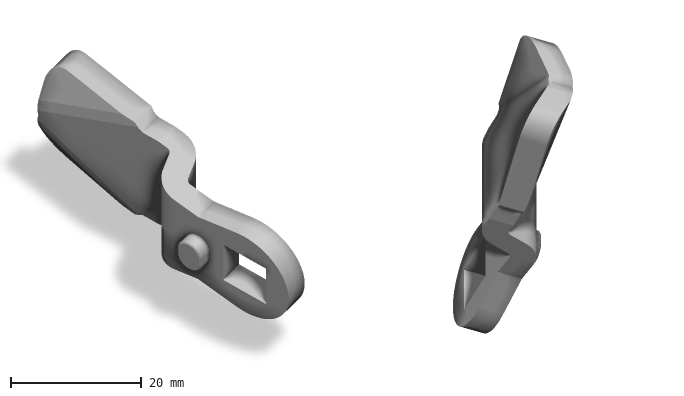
import cadquery as cq
import math

overall_length = 53.95
thickness = 4.05

hub_radius = 8.5
square_width = 8.2
square_height = 8.05
neck_x = -8.95
neck_half_height = 7.05

arm_offset = 7.05
joggle_angle = math.radians(70)
joggle_end_x = -13.5
inner_bend_radius = 1.0
outer_bend_radius = inner_bend_radius + thickness

tip_x = hub_radius - overall_length
arm_half_height = 9.4
shoulder_x = -25.05
wing_start_x = -26.65
wing_half_height = 10.45
wing_taper = math.radians(2)
tip_corner_radius = 4.0
notch_half_height = 1.55
notch_depth = 0.3

fold_line_angle = math.radians(25)
fold_start_z = 0.85
fold_angle = math.radians(26.5)
wing_reach = 13.5
flat_reach = 16.2
wing_limit_x = -22.65

pin_width = 4.4
pin_height = 5.7
pin_length = 2.3
pin_chamfer = 0.2

outline_depth = 32.35
blank_height = 26.95


def make_outline():
    """Outline in XZ, extruded through the full depth of the part."""
    neck_distance = math.hypot(neck_x, neck_half_height)
    tangent_angle = math.atan2(neck_half_height, neck_x) - math.acos(hub_radius / neck_distance)
    tangent_x = hub_radius * math.cos(tangent_angle)
    tangent_z = hub_radius * math.sin(tangent_angle)
    flank_slope = (tangent_z - neck_half_height) / (tangent_x - neck_x)
    flank_end_x = neck_x - (arm_half_height - neck_half_height) / flank_slope
    tip_half_height = wing_half_height - (wing_start_x - tip_x) * math.tan(wing_taper)

    upper_edge = [
        (neck_x, neck_half_height),
        (flank_end_x, arm_half_height),
        (shoulder_x, arm_half_height),
        (wing_start_x, wing_half_height),
        (tip_x, tip_half_height),
        (tip_x, notch_half_height),
    ]
    lower_edge = [(x, -z) for x, z in reversed(upper_edge)]
    profile = cq.Workplane("XZ").moveTo(tangent_x, tangent_z)
    for point in upper_edge + [(tip_x + notch_depth, 0)] + lower_edge:
        profile = profile.lineTo(*point)
    profile = profile.lineTo(tangent_x, -tangent_z)
    profile = profile.threePointArc((hub_radius, 0), (tangent_x, tangent_z)).close()
    outline = profile.extrude(outline_depth, both=True)
    for corner_z in (tip_half_height, -tip_half_height):
        corner = cq.selectors.NearestToPointSelector((tip_x, 0, corner_z))
        outline = outline.edges("|Y").edges(corner).fillet(tip_corner_radius)
    return outline


def make_joggled_plate():
    """Hub plate, joggle and flat part of the arm as one bent sheet."""
    half_tangent = math.tan(joggle_angle / 2)
    run = arm_offset / math.tan(joggle_angle)
    hub_front_x = joggle_end_x - outer_bend_radius * half_tangent
    hub_back_x = joggle_end_x - inner_bend_radius * half_tangent
    arm_front_x = hub_front_x - run
    arm_back_x = hub_back_x - run
    plate = (
        cq.Workplane("XY")
        .polyline([
            (hub_radius, 0),
            (hub_front_x, 0),
            (arm_front_x, arm_offset),
            (wing_limit_x, arm_offset),
            (wing_limit_x, arm_offset + thickness),
            (arm_back_x, arm_offset + thickness),
            (hub_back_x, thickness),
            (hub_radius, thickness),
        ])
        .close()
        .extrude(blank_height / 2, both=True)
    )
    bends = [
        (hub_front_x, 0, outer_bend_radius),
        (arm_front_x, arm_offset, inner_bend_radius),
        (arm_back_x, arm_offset + thickness, outer_bend_radius),
        (hub_back_x, thickness, inner_bend_radius),
    ]
    for x, y, radius in bends:
        plate = plate.edges(cq.selectors.NearestToPointSelector((x, y, 0))).fillet(radius)
    return plate


def make_upper_wing():
    """Upper half of the arm, folded backwards along its slanting line."""
    along_x = math.cos(fold_line_angle)
    along_z = math.sin(fold_line_angle)
    section_plane = cq.Plane(
        origin=(tip_x, arm_offset, fold_start_z),
        xDir=(-along_z, 0, along_x),
        normal=(-along_x, 0, -along_z),
    )
    sine = math.sin(fold_angle)
    cosine = math.cos(fold_angle)
    bevel_end = (thickness * sine, thickness * (1 - cosine))
    wing_end = (bevel_end[0] + wing_reach * cosine, bevel_end[1] + wing_reach * sine)
    wing = (
        cq.Workplane(section_plane)
        .moveTo(-flat_reach, 0)
        .lineTo(0, 0)
        .lineTo(*bevel_end)
        .lineTo(*wing_end)
        .lineTo(wing_end[0] - thickness * sine, wing_end[1] + thickness * cosine)
        .lineTo(0, thickness)
        .lineTo(-flat_reach, thickness)
        .close()
        .extrude(overall_length, both=True)
    )
    upper_half = cq.Workplane("XY").box(
        overall_length, 2 * outline_depth, blank_height, centered=(False, True, False)
    ).translate((wing_limit_x - overall_length, 0, 0))
    return wing.intersect(upper_half)


def make_pin():
    pin = (
        cq.Workplane("XZ", origin=(neck_x, 0, 0))
        .slot2D(pin_height, pin_width, 90)
        .extrude(pin_length)
    )
    return pin.faces("<Y").chamfer(pin_chamfer)


upper_wing = make_upper_wing()
lower_wing = upper_wing.mirror("XY")
blank = make_joggled_plate().union(upper_wing).union(lower_wing)
square_hole = cq.Workplane("XY").box(square_width, outline_depth, square_height)
result = blank.intersect(make_outline()).cut(square_hole).union(make_pin()).clean()